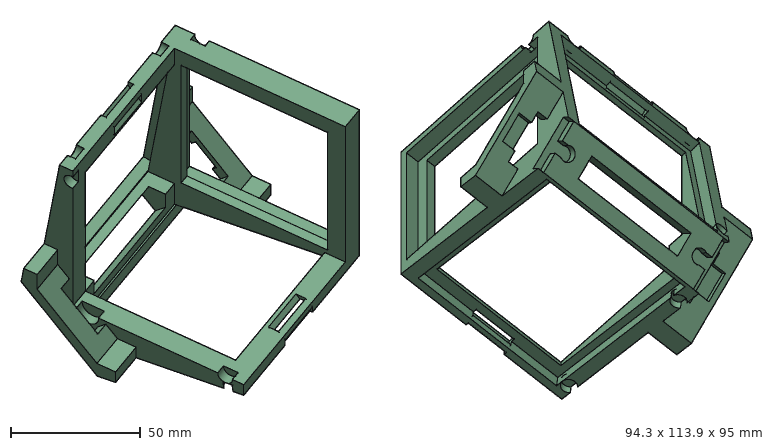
import cadquery as cq
import math


inner_width = 77.3
inner_height = 78.0
body_depth = 84.9
back_wall_thickness = 10.4
corner_thickness = 17.0
taper = math.tan(math.radians(8))
back_wall_front = body_depth - back_wall_thickness

side_window_front = 9.2
left_window_top = 68.5
floor_window_right = 68.0
back_window_left = 3.1
back_window_right = 69.2
back_window_bottom = 2.2
back_window_top = 69.9

side_seat_size = 73.0
side_seat_depth = 5.0
side_seat_start = 1.6
side_seat_front = (body_depth - side_seat_size) / 2
back_seat_depth = 6.2
back_seat_size = 73.6
back_seat_start = 0.5

rail_slot_sum_low = 69.8
rail_slot_sum_high = 74.2
rail_slot_front = 30.4
rail_slot_back = 50.5
bevel_slot_width = 10.7
bevel_slot_front = 15.7
bevel_slot_back = 68.1

bevel_step_length = 3.0
bevel_step_depth = 3.9
keyhole_inset = 7.6
keyhole_neck_width = 5.8

pocket_radius = 3.3
large_pocket_radius = 5.0
taper_pocket_depth = 3.5
front_pocket_depth = 4.2
back_pocket_depth = 3.1
top_pocket_inset = 0.7
top_pocket_ys = (9.1, 71.5)
left_edge_pocket_y = 2.6
left_edge_pocket_z = 6.8
floor_edge_pockets = ((8.7, 2.7), (70.5, 2.6))
front_pockets = (
    (-0.7, 71.2, pocket_radius),
    (68.9, -0.3, pocket_radius),
    (6.6, -0.6, large_pocket_radius),
)
back_pocket_x = 6.2

front_arm_length = 15.0
back_arm_length = 14.0
arm_reach = 28.6
arm_offset = 6.8
arm_inner_sum = 13.3
arm_outer_sum = 6.2
arm_slot_length = 23.4
front_arm_slot_width = 5.9
back_arm_slot_width = 4.9
arm_pocket_length = 13.2
arm_pocket_depth = 2.5
arm_pocket_end_margin = 2.6

margin = 5.7

root_two = math.sqrt(2)
bevel_face = -corner_thickness / root_two
slope_length = math.hypot(1, taper)
up_slope = (taper / slope_length, 1 / slope_length)
into_wall = (1 / slope_length, -taper / slope_length)


def prism(points, y_start, y_end):
    """Extrude an XZ outline from y_start to y_end."""
    plane = cq.Workplane("XZ", origin=(0, y_start, 0))
    return plane.polyline(points).close().extrude(y_start - y_end)


def swapped(points):
    """Mirror an XZ outline across the diagonal X = Z."""
    return [(z, x) for x, z in points]


def box(x_start, x_end, y_start, y_end, z_start, z_end):
    size = (x_end - x_start, y_end - y_start, z_end - z_start)
    return cq.Workplane("XY").box(*size, centered=False).translate((x_start, y_start, z_start))


def diagonal_prism(across, along, y_start, y_end):
    """Box turned 45 degrees about Y: `across` runs along +X -Z, `along` along +X +Z."""
    corners = [(across[i], along[j]) for i, j in ((0, 0), (1, 0), (1, 1), (0, 1))]
    return prism([((a + b) / root_two, (b - a) / root_two) for a, b in corners], y_start, y_end)


def cylinder(radius, depth, start, direction):
    solid = cq.Solid.makeCylinder(radius, depth, cq.Vector(*start), cq.Vector(*direction))
    return cq.Workplane(obj=solid)


def outer_x(z):
    """X of the left wall's outer face at height z; also Z of the floor's underside at X = z."""
    return -corner_thickness + z * taper


def body():
    outline = [
        (-corner_thickness, 0),
        (0, -corner_thickness),
        (inner_width, outer_x(inner_width)),
        (inner_width, inner_height),
        (outer_x(inner_height), inner_height),
    ]
    inside = box(0, inner_width + margin, -margin, back_wall_front, 0, inner_height + margin)
    return prism(outline, 0, body_depth).cut(inside)


def arm_profile():
    """Diagonal bar with a square-edged block at each end, flush with the tapered faces."""
    end_block = [
        (outer_x(arm_reach), arm_reach),
        (-arm_offset, arm_reach),
        (-arm_offset, arm_inner_sum + arm_offset),
    ]
    crossing_z = (arm_outer_sum + corner_thickness) / (1 + taper)
    foot = (arm_outer_sum - crossing_z, crossing_z)
    half = [foot] + end_block
    return half + swapped(half)[::-1]


def arm(body_face, free_end, slot_width):
    """Diagonal arm reaching out from a side of the body, with its slot and outer pocket."""
    outward = math.copysign(1, free_end - body_face)
    outer_face = arm_outer_sum / root_two
    bar_thickness = (arm_inner_sum - arm_outer_sum) / root_two
    slot_half = arm_slot_length / 2
    pocket_half = arm_pocket_length / 2
    slot_end = body_face + outward * slot_width
    pocket_end = free_end - outward * arm_pocket_end_margin
    slot = diagonal_prism(
        (-slot_half, slot_half), (outer_face - margin, outer_face + bar_thickness + margin),
        *sorted((body_face, slot_end)))
    pocket = diagonal_prism(
        (-pocket_half, pocket_half), (outer_face - margin, outer_face + arm_pocket_depth),
        *sorted((body_face, pocket_end)))
    return prism(arm_profile(), *sorted((body_face, free_end))).cut(slot).cut(pocket)


def side_seat_outline():
    """Seat section in the left wall, square to the tapered face and open outward."""
    edge = (outer_x(side_seat_start), side_seat_start)
    corners = (
        (-margin, 0),
        (side_seat_depth, 0),
        (side_seat_depth, side_seat_size),
        (-margin, side_seat_size),
    )
    return [
        tuple(edge[k] + depth * into_wall[k] + rise * up_slope[k] for k in range(2))
        for depth, rise in corners
    ]


def side_window_outline(far_end):
    """Window section in the left wall, from the seat floor to the inner face."""
    seat_floor = side_seat_depth * slope_length
    return [
        (outer_x(0) + seat_floor, 0),
        (margin, 0),
        (margin, far_end),
        (outer_x(far_end) + seat_floor, far_end),
    ]


def side_openings():
    seat = side_seat_outline()
    seat_back = side_seat_front + side_seat_size
    left_window = side_window_outline(left_window_top)
    floor_window = swapped(side_window_outline(floor_window_right))
    cuts = prism(seat, side_seat_front, seat_back)
    cuts = cuts.union(prism(swapped(seat), side_seat_front, seat_back))
    cuts = cuts.union(prism(left_window, side_window_front, back_wall_front))
    return cuts.union(prism(floor_window, side_window_front, back_wall_front))


def back_opening():
    seat_end = back_seat_start + back_seat_size
    seat = box(back_seat_start, seat_end, body_depth - back_seat_depth, body_depth + margin,
               back_seat_start, seat_end)
    window = box(back_window_left, back_window_right, back_wall_front - margin, body_depth + margin,
                 back_window_bottom, back_window_top)
    return seat.union(window)


def rail_slot():
    """One oblique slot that crosses both the top rail and the right rail."""
    return diagonal_prism(
        (-inner_height, inner_width), (rail_slot_sum_low / root_two, rail_slot_sum_high / root_two),
        rail_slot_front, rail_slot_back)


def bevel_slot():
    half = bevel_slot_width / 2
    return diagonal_prism((-half, half), (bevel_face - margin, margin), bevel_slot_front, bevel_slot_back)


def bevel_end(end_y, inward):
    """Step across one end of the bevel, with a keyhole leading out of it."""
    half_bevel = corner_thickness / root_two
    half_neck = keyhole_neck_width / 2
    along = (bevel_face - margin, bevel_face + bevel_step_depth)
    axis_y = end_y + inward * keyhole_inset
    step_y = end_y + inward * bevel_step_length
    step = diagonal_prism((-half_bevel, half_bevel), along, *sorted((end_y, step_y)))
    neck = diagonal_prism((-half_neck, half_neck), along, *sorted((end_y, axis_y)))
    centre = -corner_thickness / 2
    hole = cylinder(pocket_radius, bevel_step_depth, (centre, axis_y, centre), (1, 0, 1))
    return step.union(neck).union(hole)


def left_pocket(y, z):
    start = (outer_x(z), y, z)
    return cylinder(pocket_radius, taper_pocket_depth, start, (into_wall[0], 0, into_wall[1]))


def floor_pocket(x, y):
    start = (x, y, outer_x(x))
    return cylinder(pocket_radius, taper_pocket_depth, start, (into_wall[1], 0, into_wall[0]))


def round_pockets():
    top_axis_z = inner_height - top_pocket_inset
    pockets = [left_pocket(y, top_axis_z) for y in top_pocket_ys]
    pockets.append(left_pocket(left_edge_pocket_y, left_edge_pocket_z))
    pockets += [floor_pocket(x, y) for x, y in floor_edge_pockets]
    for x, z, radius in front_pockets:
        pockets.append(cylinder(radius, front_pocket_depth, (x, 0, z), (0, 1, 0)))
    back_centre = (back_pocket_x, body_depth, top_axis_z)
    pockets.append(cylinder(pocket_radius, back_pocket_depth, back_centre, (0, -1, 0)))
    return pockets


cutters = [
    side_openings(),
    back_opening(),
    rail_slot(),
    bevel_slot(),
    bevel_end(0, 1),
    bevel_end(body_depth, -1),
] + round_pockets()

result = body()
for cutter in cutters:
    result = result.cut(cutter)
result = result.union(arm(0, -front_arm_length, front_arm_slot_width))
result = result.union(arm(body_depth, body_depth + back_arm_length, back_arm_slot_width))